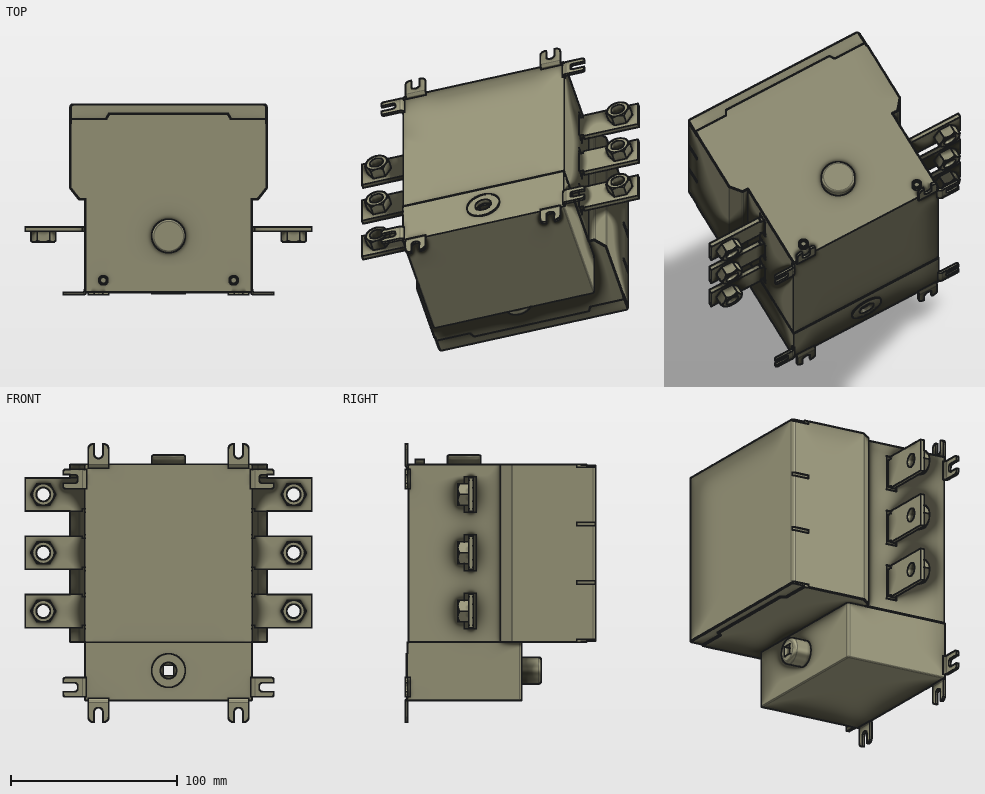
import cadquery as cq
import math

POLE_PITCH = 35.0
MIDDLE_POLE_Z = 0.25
POLE_HEIGHTS = [MIDDLE_POLE_Z + step * POLE_PITCH for step in (-1, 0, 1)]
BODY_HALF_HEIGHT = 53.5
BASE_HALF_WIDTH = 50.1
WIDE_HALF_WIDTH = 59.1
SHOULDER_Y = 55.1
SHOULDER_HALF_WIDTH = 53.6
SHOULDER_SLOPE_END_Y = 62.0
EDGE_CHAMFER = 0.5
SHOULDER_ROUND = 0.9

OVERALL_DEPTH = 114.48
BRACKET_FRONT_Y = -2.0
COVER_BACK_Y = OVERALL_DEPTH + BRACKET_FRONT_Y
COVER_HALF_HEIGHT = BODY_HALF_HEIGHT - 0.8
COVER_CORNER_ROUND = 2.0
BODY_SIDE_BACK_Y = 103.8
BODY_MIDDLE_BACK_Y = 106.9
STEP_INNER_HALF_WIDTH = 35.8
STEP_OUTER_HALF_WIDTH = 37.6
COVER_GROOVE_HEIGHTS = [step * POLE_PITCH for step in (-1.5, -0.5, 0.5, 1.5)]
COVER_GROOVE_WIDTH = 2.0
COVER_GROOVE_LENGTH = 11.5
COVER_GROOVE_DEPTH = 0.7

BOX_HEIGHT = 34.9
BOX_TOP_Z = -BODY_HALF_HEIGHT
BOX_BOTTOM_Z = BOX_TOP_Z - BOX_HEIGHT
BOX_FRONT_Y = -0.6
BOX_BACK_Y = 68.0
BOX_BACK_ROUND = 1.4
BOX_BOTTOM_ROUND = 0.7
SHAFT_Z = -70.4
SHAFT_SQUARE = 6.2
SHAFT_BORE_DIAMETER = 9.8
SHAFT_BORE_DEPTH = 3.0
DISC_DIAMETER = 20.2
DISC_THICKNESS = 0.7
HUB_DIAMETER = 16.2
HUB_BACK_Y = 79.8
HUB_ROUND = 2.0

OVERALL_WIDTH = 172.01
TERMINAL_HALF_SPAN = OVERALL_WIDTH / 2
TERMINAL_WIDTH = 20.0
TERMINAL_THICKNESS = 2.6
TERMINAL_FRONT_Y = 36.2
TERMINAL_NECK_WIDTH = 17.2
TERMINAL_NECK_END_X = 51.8
NUT_X = 75.1
NUT_ACROSS_FLATS = 13.0
NUT_HEIGHT = 6.5
NUT_CHAMFER = 1.0
NUT_HOLE_DIAMETER = 8.2
POCKET_HEIGHT = 21.4
POCKET_FRONT_Y = 33.6
POCKET_BACK_Y = 40.6
POCKET_DEPTH = 1.0

BUTTON_DIAMETER = 20.2
BUTTON_HEIGHT = 5.4
BUTTON_ROUND = 1.2
BUTTON_Y = 33.4
SCREW_DIAMETER = 5.6
SCREW_HEIGHT = 2.8
SCREW_SOCKET_DIAMETER = 3.8
SCREW_SOCKET_DEPTH = 1.5
SCREW_X = 39.1
SCREW_Y = 6.8

BRACKET_THICKNESS = 1.5
BRACKET_INNER_RADIUS = 1.2
BRACKET_OUTER_RADIUS = BRACKET_INNER_RADIUS + BRACKET_THICKNESS
BRACKET_LEG_END_Y = 1.0
BRACKET_SLOT_WIDTH = 5.2
BRACKETS_TOTAL_HEIGHT = 167.01
TOP_BRACKET_TIP_Z = BODY_HALF_HEIGHT + 12.1
BOTTOM_BRACKET_TIP_Z = TOP_BRACKET_TIP_Z - BRACKETS_TOTAL_HEIGHT
END_BRACKET_X = 42.0
END_BRACKET_LENGTH = 14.8
END_BRACKET_WIDTH = 12.4
END_BRACKET_SLOT_LENGTH = 8.7
END_BRACKET_SLOT_ROUND = 2.55
END_BRACKET_CORNER_ROUND = 3.2
SIDE_BRACKET_TIP_X = 63.2
SIDE_BRACKET_LENGTH = 14.2
SIDE_BRACKET_WIDTH = 11.7
SIDE_BRACKET_CORNER_ROUND = 1.6
SIDE_BRACKET_SLOT_LENGTH = 8.7
SIDE_BRACKET_SLOT_ROUND = 1.8
SIDE_BRACKET_HEIGHTS = (44.5, -80.4)


def box(x_range, y_range, z_range):
    """Axis-aligned block between the given limits."""
    sizes = [high - low for low, high in (x_range, y_range, z_range)]
    corner = (x_range[0], y_range[0], z_range[0])
    return cq.Workplane("XY").box(*sizes, centered=False).translate(corner)


def y_cylinder(diameter, x, z, y_start, y_end):
    """Cylinder along Y between two depths."""
    disc = cq.Workplane("XZ", origin=(x, y_start, z)).circle(diameter / 2)
    return disc.extrude(y_start - y_end)


def mirrored(shape):
    """The shape together with its mirror image across the centre plane."""
    return shape.union(shape.mirror("YZ"))


def make_body():
    half_outline = [
        (BASE_HALF_WIDTH, 0),
        (BASE_HALF_WIDTH, SHOULDER_Y),
        (SHOULDER_HALF_WIDTH, SHOULDER_Y),
        (WIDE_HALF_WIDTH, SHOULDER_SLOPE_END_Y),
        (WIDE_HALF_WIDTH, BODY_SIDE_BACK_Y),
        (STEP_OUTER_HALF_WIDTH, BODY_SIDE_BACK_Y),
        (STEP_INNER_HALF_WIDTH, BODY_MIDDLE_BACK_Y),
    ]
    outline = half_outline + [(-x, y) for x, y in reversed(half_outline)]
    body = cq.Workplane("XY").polyline(outline).close().extrude(2 * BODY_HALF_HEIGHT)
    body = body.translate((0, 0, -BODY_HALF_HEIGHT))
    slope_start = (SHOULDER_HALF_WIDTH, SHOULDER_Y)
    slope_end = (WIDE_HALF_WIDTH, SHOULDER_SLOPE_END_Y)
    for x, y in (slope_start, slope_end):
        for side in (-1, 1):
            corner = cq.selectors.NearestToPointSelector((side * x, y, 0))
            body = body.edges(corner).fillet(SHOULDER_ROUND)
    behind_front_face = cq.selectors.BoxSelector(
        (-TERMINAL_HALF_SPAN, EDGE_CHAMFER, -2 * BODY_HALF_HEIGHT),
        (TERMINAL_HALF_SPAN, OVERALL_DEPTH, 2 * BODY_HALF_HEIGHT),
    )
    end_edges = body.faces("<Z or >Z").edges().edges(behind_front_face)
    return end_edges.chamfer(EDGE_CHAMFER)


def make_cover():
    cover = box(
        (-WIDE_HALF_WIDTH, WIDE_HALF_WIDTH),
        (SHOULDER_SLOPE_END_Y + COVER_CORNER_ROUND, COVER_BACK_Y),
        (-COVER_HALF_HEIGHT, COVER_HALF_HEIGHT),
    )
    cover = cover.edges("|Z and >Y").fillet(COVER_CORNER_ROUND)
    return cover.faces(">Y").edges(">Z or <Z").chamfer(EDGE_CHAMFER)


def make_cover_grooves():
    """Short grooves in both sides of the cover, half a pitch above and below each pole."""
    grooves = []
    for z in COVER_GROOVE_HEIGHTS:
        groove = box(
            (WIDE_HALF_WIDTH - COVER_GROOVE_DEPTH, WIDE_HALF_WIDTH + COVER_GROOVE_DEPTH),
            (COVER_BACK_Y - COVER_GROOVE_LENGTH, COVER_BACK_Y),
            (z - COVER_GROOVE_WIDTH / 2, z + COVER_GROOVE_WIDTH / 2),
        )
        grooves.append(mirrored(groove))
    return grooves


def make_mechanism_box():
    case = box(
        (-BASE_HALF_WIDTH, BASE_HALF_WIDTH),
        (BOX_FRONT_Y, BOX_BACK_Y),
        (BOX_BOTTOM_Z, BOX_TOP_Z),
    )
    case = case.edges("|Z and >Y").fillet(BOX_BACK_ROUND)
    case = case.edges("<Z and |Y").fillet(BOX_BOTTOM_ROUND)
    disc_front_y = BOX_FRONT_Y - DISC_THICKNESS
    case = case.union(y_cylinder(DISC_DIAMETER, 0, SHAFT_Z, disc_front_y, BOX_BACK_Y))
    hub = y_cylinder(HUB_DIAMETER, 0, SHAFT_Z, BOX_FRONT_Y, HUB_BACK_Y)
    case = case.union(hub.faces(">Y").edges().fillet(HUB_ROUND))
    bore = y_cylinder(SHAFT_BORE_DIAMETER, 0, SHAFT_Z, disc_front_y, disc_front_y + SHAFT_BORE_DEPTH)
    square = box(
        (-SHAFT_SQUARE / 2, SHAFT_SQUARE / 2),
        (disc_front_y, HUB_BACK_Y),
        (SHAFT_Z - SHAFT_SQUARE / 2, SHAFT_Z + SHAFT_SQUARE / 2),
    )
    return case.cut(bore).cut(square)


def make_terminal_pocket(z):
    return mirrored(box(
        (BASE_HALF_WIDTH - POCKET_DEPTH, BASE_HALF_WIDTH + POCKET_DEPTH),
        (POCKET_FRONT_Y, POCKET_BACK_Y),
        (z - POCKET_HEIGHT / 2, z + POCKET_HEIGHT / 2),
    ))


def make_nut(z):
    nut_front_y = TERMINAL_FRONT_Y - NUT_HEIGHT
    corner_diameter = NUT_ACROSS_FLATS / math.cos(math.radians(30))
    plane = cq.Workplane("XZ", origin=(NUT_X, TERMINAL_FRONT_Y, z))
    nut = plane.polygon(6, corner_diameter).extrude(NUT_HEIGHT)
    turned_blank = y_cylinder(corner_diameter, NUT_X, z, nut_front_y, TERMINAL_FRONT_Y)
    return nut.intersect(turned_blank.faces("<Y").edges().chamfer(NUT_CHAMFER))


def make_terminal(z):
    y_range = (TERMINAL_FRONT_Y, TERMINAL_FRONT_Y + TERMINAL_THICKNESS)
    blade = box(
        (TERMINAL_NECK_END_X, TERMINAL_HALF_SPAN),
        y_range,
        (z - TERMINAL_WIDTH / 2, z + TERMINAL_WIDTH / 2),
    )
    neck = box(
        (BASE_HALF_WIDTH - 2 * POCKET_DEPTH, TERMINAL_NECK_END_X),
        y_range,
        (z - TERMINAL_NECK_WIDTH / 2, z + TERMINAL_NECK_WIDTH / 2),
    )
    hole = y_cylinder(NUT_HOLE_DIAMETER, NUT_X, z, TERMINAL_FRONT_Y - NUT_HEIGHT, y_range[1])
    return mirrored(blade.union(neck).union(make_nut(z)).cut(hole))


def make_button():
    plane = cq.Workplane("XY", origin=(0, BUTTON_Y, BODY_HALF_HEIGHT))
    button = plane.circle(BUTTON_DIAMETER / 2).extrude(BUTTON_HEIGHT)
    return button.faces(">Z").edges().fillet(BUTTON_ROUND)


def make_top_screws():
    plane = cq.Workplane("XY", origin=(SCREW_X, SCREW_Y, BODY_HALF_HEIGHT))
    screw = plane.circle(SCREW_DIAMETER / 2).extrude(SCREW_HEIGHT)
    socket = screw.faces(">Z").workplane().circle(SCREW_SOCKET_DIAMETER / 2)
    return mirrored(socket.cutBlind(-SCREW_SOCKET_DEPTH))


def make_bracket(length, width, corner_round, slot_length, slot_round):
    """L-shaped bracket: tab pointing to +Z with its leg along the plane Z = 0, centred on X = 0."""
    bend_y = BRACKET_FRONT_Y + BRACKET_OUTER_RADIUS
    bend_z = BRACKET_OUTER_RADIUS
    tab_back_y = BRACKET_FRONT_Y + BRACKET_THICKNESS
    diagonal = math.cos(math.radians(45))
    section = (
        cq.Workplane("YZ", origin=(-width / 2, 0, 0))
        .moveTo(BRACKET_LEG_END_Y, 0)
        .lineTo(bend_y, 0)
        .threePointArc(
            (bend_y - BRACKET_OUTER_RADIUS * diagonal, bend_z - BRACKET_OUTER_RADIUS * diagonal),
            (BRACKET_FRONT_Y, bend_z),
        )
        .lineTo(BRACKET_FRONT_Y, length)
        .lineTo(tab_back_y, length)
        .lineTo(tab_back_y, bend_z)
        .threePointArc(
            (bend_y - BRACKET_INNER_RADIUS * diagonal, bend_z - BRACKET_INNER_RADIUS * diagonal),
            (bend_y, BRACKET_THICKNESS),
        )
        .lineTo(BRACKET_LEG_END_Y, BRACKET_THICKNESS)
        .close()
    )
    bracket = section.extrude(width)
    bracket = bracket.edges("|Y and >Z").fillet(corner_round)
    slot = box(
        (-BRACKET_SLOT_WIDTH / 2, BRACKET_SLOT_WIDTH / 2),
        (BRACKET_FRONT_Y, tab_back_y),
        (length - slot_length, length),
    )
    return bracket.cut(slot.edges("|Y and <Z").fillet(slot_round))


def make_brackets():
    end_bracket = make_bracket(
        END_BRACKET_LENGTH,
        END_BRACKET_WIDTH,
        END_BRACKET_CORNER_ROUND,
        END_BRACKET_SLOT_LENGTH,
        END_BRACKET_SLOT_ROUND,
    )
    end_bracket = end_bracket.translate((END_BRACKET_X, 0, 0))
    top = end_bracket.translate((0, 0, TOP_BRACKET_TIP_Z - END_BRACKET_LENGTH))
    bottom = end_bracket.mirror("XY").translate((0, 0, BOTTOM_BRACKET_TIP_Z + END_BRACKET_LENGTH))
    brackets = [mirrored(top), mirrored(bottom)]
    side_bracket = make_bracket(
        SIDE_BRACKET_LENGTH,
        SIDE_BRACKET_WIDTH,
        SIDE_BRACKET_CORNER_ROUND,
        SIDE_BRACKET_SLOT_LENGTH,
        SIDE_BRACKET_SLOT_ROUND,
    )
    side_bracket = side_bracket.rotate((0, 0, 0), (0, 1, 0), 90)
    for z in SIDE_BRACKET_HEIGHTS:
        placed = side_bracket.translate((SIDE_BRACKET_TIP_X - SIDE_BRACKET_LENGTH, 0, z))
        brackets.append(mirrored(placed))
    return brackets


result = make_body().union(make_cover())
for groove_pair in make_cover_grooves():
    result = result.cut(groove_pair)
result = result.union(make_mechanism_box())
for pole_z in POLE_HEIGHTS:
    result = result.cut(make_terminal_pocket(pole_z)).union(make_terminal(pole_z))
result = result.union(make_button()).union(make_top_screws())
for bracket_pair in make_brackets():
    result = result.union(bracket_pair)